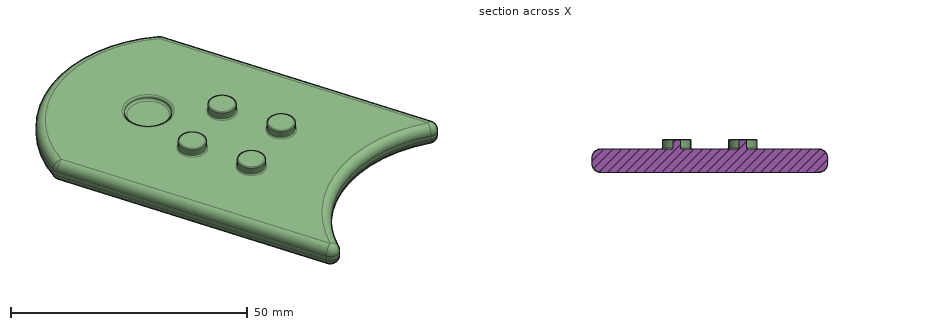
import cadquery as cq
import math

plate_width = 50.0
plate_thickness = 5.0
end_radius = 30.0
end_center_spacing = 70.0
edge_fillet = 2.0

recess_x = -7.0
recess_diameter = 10.0
recess_fillet = 0.5
recess_depth = 2 * recess_fillet

button_diameter = 6.0
button_height = 2.0
button_fillet = 0.25
button_spacing = 14.0
button_group_x = 14.0
button_root = 1.0


def make_plate():
    """Plate with every outer edge rounded, including the four upright corners."""
    half_width = plate_width / 2
    corner_offset = math.sqrt(end_radius**2 - half_width**2)
    convex_corner_x = -corner_offset
    concave_corner_x = end_center_spacing - corner_offset
    plate = (
        cq.Workplane("XY")
        .moveTo(convex_corner_x, -half_width)
        .lineTo(concave_corner_x, -half_width)
        .threePointArc((end_center_spacing - end_radius, 0), (concave_corner_x, half_width))
        .lineTo(convex_corner_x, half_width)
        .threePointArc((-end_radius, 0), (convex_corner_x, -half_width))
        .close()
        .extrude(plate_thickness)
    )
    return plate.edges("|Z").fillet(edge_fillet).faces("<Z or >Z").edges().fillet(edge_fillet)


def cut_recess(plate):
    """Shallow blind recess with a rounded rim and a rounded floor edge."""
    radius = recess_diameter / 2
    rim_radius = radius + recess_fillet
    floor_radius = radius - recess_fillet
    floor_z = plate_thickness - recess_depth
    cutter = (
        cq.Workplane("XZ")
        .moveTo(0, floor_z)
        .lineTo(floor_radius, floor_z)
        .radiusArc((radius, floor_z + recess_fillet), -recess_fillet)
        .radiusArc((rim_radius, plate_thickness), recess_fillet)
        .lineTo(0, plate_thickness)
        .close()
        .revolve()
    )
    return plate.cut(cutter.translate((recess_x, 0, 0)))


def make_button():
    """Button on the Z axis with a rounded top edge and a fillet flaring into the plate."""
    radius = button_diameter / 2
    top_z = plate_thickness + button_height
    return (
        cq.Workplane("XZ")
        .moveTo(0, plate_thickness - button_root)
        .lineTo(radius + button_fillet, plate_thickness - button_root)
        .lineTo(radius + button_fillet, plate_thickness)
        .radiusArc((radius, plate_thickness + button_fillet), button_fillet)
        .lineTo(radius, top_z - button_fillet)
        .radiusArc((radius - button_fillet, top_z), -button_fillet)
        .lineTo(0, top_z)
        .close()
        .revolve()
    )


def add_buttons(plate):
    """Plate with the two by two group of buttons fused onto its top face."""
    button = make_button()
    for side_x in (-1, 1):
        for side_y in (-1, 1):
            x = button_group_x + side_x * button_spacing / 2
            y = side_y * button_spacing / 2
            plate = plate.union(button.translate((x, y, 0)))
    return plate


result = add_buttons(cut_recess(make_plate()))